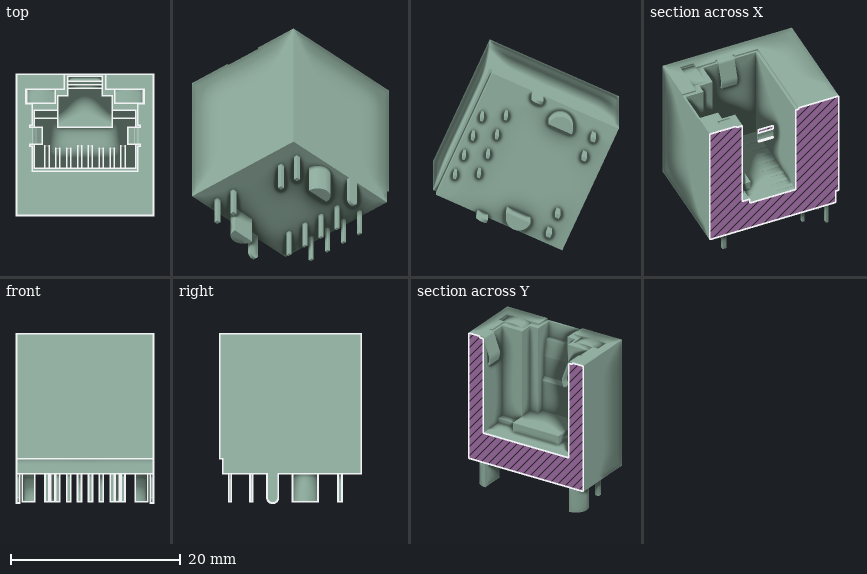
import cadquery as cq
import math


width = 16.15
depth = 16.7
height = 19.99
body_base = 3.45
sheet = 0.2
housing_top = height - sheet
back = depth / 2
front = -depth / 2
front_step_depth = 0.35
front_step_height = 1.75

plug_half = 6.0
plug_front = -2.75
plug_back = 4.08
shoulder_half = 3.22
shoulder_back = 5.78
latch_half = 2.05
latch_back = 8.1
cavity_floor = housing_top - 12.4

sheet_half = 6.24
sheet_front = -3.12
window_half = 7.0
window_front = 4.84
window_back = 6.58
notch_half = 2.45

ledge_depth = 2.05
ledge_y = 7.52
ramp_end_y = 7.1
ramp_drop = 2.12
wall_drop = 2.62
foot_y = 6.68
foot_drop = 0.42

center_step_front = 2.08
center_step_height = 1.2
side_step_front = 3.15
side_step_height = 0.6

contact_pitch = 1.28
contact_count = 8
contact_width = 0.48
contact_rise = 0.05
long_contact_tip = -0.08
short_contact_tip = -0.4
long_contacts = (0, 3, 4, 7)

lens_inner = 3.48
lens_outer = 6.84
lens_front = 4.9
lens_sink = 0.15
lens_crown = sheet + lens_sink

tongue_front = 0.05
tongue_back = 2.08
relief_width = 0.24
relief_reach = 0.25
tongue_slope = math.radians(70)
tongue_bend = 0.44
tongue_run = 2.15
tongue_tip_bend = 1.2
tongue_tip_run = 0.48

pin_length = 3.3
pin_width = 0.5
pin_depth = 0.32
front_row_y = -7.14
rear_row_y = -4.62
lamp_pin_y = 5.84
lamp_pin_inner = 3.8
lamp_pin_spacing = 2.54
peg_radius = 1.52
peg_y = 1.74
peg_flat = 5.9
leg_y = -2.1
leg_radius = 0.68
leg_thickness = 0.4


def box(x0, x1, y0, y1, z0, z1):
    """Block between two opposite corners."""
    return cq.Workplane("XY").box(x1 - x0, y1 - y0, z1 - z0, centered=False).translate((x0, y0, z0))


def centered_slot(half, y0, y1, z0, z1):
    """Block that is symmetric about X = 0."""
    return box(-half, half, y0, y1, z0, z1)


def both_sides(shape):
    """The shape together with its mirror image across X = 0."""
    return shape.union(shape.mirror("YZ"))


def contact_x(index):
    """Position of a contact along X, counted from the -X side."""
    return (index - (contact_count - 1) / 2) * contact_pitch


def make_body():
    body = centered_slot(width / 2, front, back, body_base, height)
    step = centered_slot(width / 2, front, front + front_step_depth, body_base, body_base + front_step_height)
    return body.cut(step)


def make_plug_cavity():
    plug = centered_slot(plug_half, plug_front, plug_back, cavity_floor, height)
    shoulder = centered_slot(shoulder_half, plug_front, shoulder_back, cavity_floor, height)
    latch = centered_slot(latch_half, plug_front, latch_back, cavity_floor, height)
    return plug.union(shoulder).union(latch)


def make_sheet_opening():
    z0, z1 = housing_top, height
    opening = centered_slot(sheet_half, sheet_front, window_back, z0, z1)
    windows = centered_slot(window_half, window_front, window_back, z0, z1)
    notch = centered_slot(notch_half, window_front, back, z0, z1)
    reach = sheet_half + relief_reach
    rear_relief = centered_slot(reach, tongue_back, tongue_back + relief_width, z0, z1)
    front_relief = centered_slot(reach, tongue_front - relief_width, tongue_front, z0, z1)
    return opening.union(windows).union(notch).union(rear_relief).union(front_relief)


def make_latch_steps():
    ledge_z = housing_top - ledge_depth
    ramp_z = ledge_z - ramp_drop
    wall_z = ramp_z - wall_drop
    foot_z = wall_z - foot_drop
    profile = [
        (latch_back, ledge_z),
        (ledge_y, ledge_z),
        (ramp_end_y, ramp_z),
        (ramp_end_y, wall_z),
        (foot_y, foot_z),
        (foot_y, cavity_floor),
        (latch_back, cavity_floor),
    ]
    return cq.Workplane("YZ").polyline(profile).close().extrude(latch_half, both=True)


def make_floor_steps():
    center_top = cavity_floor + center_step_height
    side_top = cavity_floor + side_step_height
    center = centered_slot(shoulder_half, center_step_front, shoulder_back, cavity_floor, center_top)
    latch = centered_slot(latch_half, center_step_front, foot_y, cavity_floor, center_top)
    sides = centered_slot(plug_half, side_step_front, plug_back, cavity_floor, side_top)
    return center.union(latch).union(sides)


def make_contact(index):
    """Low wedge that runs out into the cavity floor."""
    tip = long_contact_tip if index in long_contacts else short_contact_tip
    profile = [(plug_front, cavity_floor), (tip, cavity_floor), (plug_front, cavity_floor + contact_rise)]
    wedge = cq.Workplane("YZ").polyline(profile).close().extrude(contact_width / 2, both=True)
    return wedge.translate((contact_x(index), 0, 0))


def make_lens_pocket():
    return box(lens_inner, lens_outer, lens_front, window_back, housing_top - lens_sink, height)


def make_lens():
    """Arched lens crown filling the pocket from its floor."""
    edge_z = housing_top - lens_sink
    middle = (lens_inner + lens_outer) / 2
    return (
        cq.Workplane("XZ", origin=(0, window_back, 0))
        .moveTo(lens_inner, edge_z)
        .threePointArc((middle, edge_z + lens_crown), (lens_outer, edge_z))
        .close()
        .extrude(window_back - lens_front)
    )


def make_tongue():
    """Sheet strip bent down into the cavity, with its tip curled back towards the wall."""
    sine = math.sin(tongue_slope)
    cosine = math.cos(tongue_slope)
    half_sine = math.sin(tongue_slope / 2)
    half_cosine = math.cos(tongue_slope / 2)

    bend_mid = (sheet_half - tongue_bend * half_sine, height - tongue_bend * (1 - half_cosine))
    bend_end = (sheet_half - tongue_bend * sine, height - tongue_bend * (1 - cosine))
    tip_start = (bend_end[0] - tongue_run * cosine, bend_end[1] - tongue_run * sine)
    tip_drop = tongue_tip_bend * cosine
    tip_mid = (tip_start[0] - tongue_tip_bend * (1 - sine), tip_start[1] - tip_drop)
    tip_end = (tip_start[0], tip_start[1] - 2 * tip_drop)
    end = (tip_end[0] + tongue_tip_run * cosine, tip_end[1] - tongue_tip_run * sine)

    inner_bend = tongue_bend - sheet
    inner_tip_bend = tongue_tip_bend - sheet
    inner_end = (end[0] + sheet * sine, end[1] + sheet * cosine)
    inner_tip_end = (tip_end[0] + sheet * sine, tip_end[1] + sheet * cosine)
    inner_tip_mid = (tip_mid[0] + sheet, tip_mid[1])
    inner_tip_start = (tip_start[0] + sheet * sine, tip_start[1] - sheet * cosine)
    inner_bend_end = (bend_end[0] + sheet * sine, bend_end[1] - sheet * cosine)
    inner_bend_mid = (sheet_half - inner_bend * half_sine, housing_top - inner_bend * (1 - half_cosine))
    return (
        cq.Workplane("XZ", origin=(0, tongue_back, 0))
        .moveTo(sheet_half, height)
        .threePointArc(bend_mid, bend_end)
        .lineTo(*tip_start)
        .threePointArc(tip_mid, tip_end)
        .lineTo(*end)
        .lineTo(*inner_end)
        .lineTo(*inner_tip_end)
        .threePointArc(inner_tip_mid, inner_tip_start)
        .lineTo(*inner_bend_end)
        .threePointArc(inner_bend_mid, (sheet_half, housing_top))
        .close()
        .extrude(tongue_back - tongue_front)
    )


def make_pin(x, y, size_y):
    """Straight square-ended pin below the body."""
    half_x = pin_width / 2
    return box(x - half_x, x + half_x, y - size_y / 2, y + size_y / 2, body_base - pin_length, body_base)


def make_peg():
    """Half-round peg with its flat facing the middle of the part."""
    base = cq.Workplane("XY", origin=(peg_flat, peg_y, body_base))
    round_peg = base.circle(peg_radius).extrude(-pin_length)
    outer_half = base.rect(2 * peg_radius, 2 * peg_radius).extrude(-pin_length).translate((peg_radius, 0, 0))
    return round_peg.intersect(outer_half)


def make_leg():
    """Flat shield leg with a round end, flush with the side of the body."""
    return (
        cq.Workplane("YZ", origin=(width / 2 - leg_thickness, 0, 0))
        .moveTo(leg_y - leg_radius, body_base)
        .lineTo(leg_y - leg_radius, leg_radius)
        .threePointArc((leg_y, 0), (leg_y + leg_radius, leg_radius))
        .lineTo(leg_y + leg_radius, body_base)
        .close()
        .extrude(leg_thickness)
    )


result = make_body().cut(make_plug_cavity()).cut(make_sheet_opening())
result = result.cut(both_sides(make_lens_pocket()))

result = result.union(make_latch_steps()).union(make_floor_steps())
for index in range(contact_count):
    result = result.union(make_contact(index))
result = result.union(both_sides(make_lens())).union(both_sides(make_tongue()))

for index in range(contact_count):
    row_y = front_row_y if index % 2 == 0 else rear_row_y
    result = result.union(make_pin(contact_x(index), row_y, pin_depth))
for lamp_pin_x in (lamp_pin_inner, lamp_pin_inner + lamp_pin_spacing):
    result = result.union(both_sides(make_pin(lamp_pin_x, lamp_pin_y, pin_width)))
result = result.union(both_sides(make_peg())).union(both_sides(make_leg()))